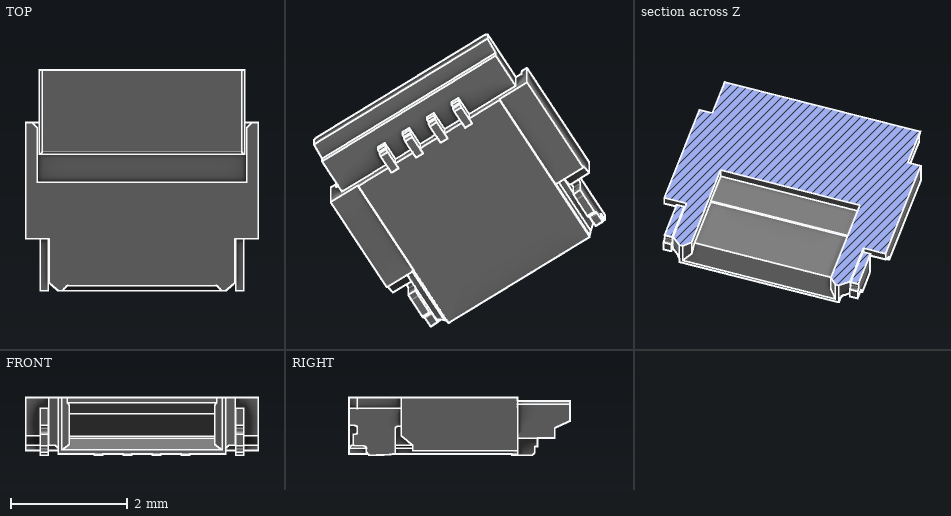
import cadquery as cq


HEIGHT = 1.0
EAR_WIDTH = 4.0
BODY_WIDTH = 3.2
FOOT_WIDTH = 2.88
HOUSING_REAR = 2.9
EAR_FRONT = 0.895
HOUSING_BOTTOM = 0.025
EAR_BOTTOM = 0.085
FOOT_TOP = 0.125
BODY_BOTTOM = 0.175
BODY_CORNER = 0.14
EAR_CHAMFER_Y = 0.2
EAR_CHAMFER_Z = 0.165

POCKET_WIDTH = 3.6
POCKET_FRONT = 1.87
POCKET_FLOOR = 0.835
POCKET_MOUTH_CHAMFER = 0.095

MOUTH_WIDTH = 2.75
SLOT_WIDTH = 2.505
MOUTH_FLOOR = 0.095
SLOT_FLOOR = 0.3
SLOT_CEILING = 0.715
SLOT_STEP_Y = 1.2
SLOT_STEP_HEIGHT = 0.03
SLOT_END = 1.76
RAMP_SLOPE = 0.74
CEILING_SLOPE = 1.3
FLARE_DEPTH = (MOUTH_WIDTH - SLOT_WIDTH) / 2
LIP_SETBACK = 0.09
LIP_BOTTOM = 0.91

FLAP_WIDTH = 3.535
FLAP_FRONT = 2.35
FLAP_REAR = 3.8
FLAP_TOP = 0.94
FLAP_BOTTOM = 0.3
FLAP_BEVEL_WIDTH = 0.05
FLAP_BEVEL_HEIGHT = 0.06
FLAP_FRONT_RADIUS = 0.05
FLAP_HEEL_Y = 3.54
FLAP_HEEL_Z = 0.47
FLAP_REAR_BOTTOM = 0.59

CONTACT_COUNT = 4
CONTACT_PITCH = 0.5
CONTACT_WIDTH = 0.145
CONTACT_REAR = 3.245
CONTACT_FRONT = 2.8
CONTACT_STEP_Y = 3.195
CONTACT_STEP_Z = 0.15
CONTACT_TOE_CHAMFER = 0.05

TAB_THICKNESS = 0.145
TAB_INNER_X = 1.61
TAB_TOP = 0.81
TAB_ROOT_Y = 1.2
TAB_SHOULDER_Z = 0.505
TAB_LEG_REAR = 0.795
TAB_LEG_FRONT = 0.3
TAB_HEEL_HEIGHT = 0.03
TAB_SOLE_REAR = 0.7
TAB_SOLE_REAR_HEIGHT = 0.01
TAB_TOE_LENGTH = 0.05
TAB_TOE_HEIGHT = 0.06
TAB_NOSE_BOTTOM = 0.515
TAB_NOTCH_Y = 0.145
PRONG_FRONT = 0.075
PRONG_BOTTOM = 0.165
PRONG_TOP = 0.365
TAB_FILLET = 0.05


def extrude_x(points, x_min, x_max):
    """Extrude a (y, z) outline between two X positions."""
    return cq.Workplane("YZ").workplane(offset=x_min).polyline(points).close().extrude(x_max - x_min)


def extrude_centred(points, width):
    return extrude_x(points, -width / 2, width / 2)


def make_housing():
    half_body = BODY_WIDTH / 2
    half_foot = FOOT_WIDTH / 2
    foot_bevel = BODY_BOTTOM - FOOT_TOP
    body_section = [
        (-half_foot, HOUSING_BOTTOM),
        (half_foot, HOUSING_BOTTOM),
        (half_foot, FOOT_TOP),
        (half_foot + foot_bevel, BODY_BOTTOM),
        (half_body, BODY_BOTTOM),
        (half_body, HEIGHT),
        (-half_body, HEIGHT),
        (-half_body, BODY_BOTTOM),
        (-half_foot - foot_bevel, BODY_BOTTOM),
        (-half_foot, FOOT_TOP),
    ]
    body = cq.Workplane("XZ").polyline(body_section).close().extrude(-HOUSING_REAR)
    corner_plan = [
        (-half_foot, 0),
        (half_foot, 0),
        (half_body, BODY_CORNER),
        (half_body, HOUSING_REAR),
        (-half_body, HOUSING_REAR),
        (-half_body, BODY_CORNER),
    ]
    body = body.intersect(cq.Workplane("XY").polyline(corner_plan).close().extrude(HEIGHT))
    ear_side = [
        (EAR_FRONT + EAR_CHAMFER_Y, EAR_BOTTOM),
        (EAR_FRONT + EAR_CHAMFER_Y, BODY_BOTTOM),
        (EAR_FRONT, BODY_BOTTOM + EAR_CHAMFER_Z),
        (EAR_FRONT, HEIGHT),
        (HOUSING_REAR, HEIGHT),
        (HOUSING_REAR, EAR_BOTTOM),
    ]
    return body.union(extrude_centred(ear_side, EAR_WIDTH))


def make_rear_pocket():
    half = POCKET_WIDTH / 2
    plan = [
        (-half, POCKET_FRONT),
        (half, POCKET_FRONT),
        (half, HOUSING_REAR - POCKET_MOUTH_CHAMFER),
        (half + POCKET_MOUTH_CHAMFER, HOUSING_REAR),
        (-half - POCKET_MOUTH_CHAMFER, HOUSING_REAR),
        (-half, HOUSING_REAR - POCKET_MOUTH_CHAMFER),
    ]
    floor = cq.Workplane("XY").workplane(offset=POCKET_FLOOR)
    return floor.polyline(plan).close().extrude(HEIGHT - POCKET_FLOOR)


def make_cable_opening():
    """Cable slot with a flared mouth; the roof is set back so the mouth is open above."""
    ramp_end = (SLOT_FLOOR - MOUTH_FLOOR) / RAMP_SLOPE
    ceiling_ramp_end = LIP_SETBACK + (LIP_BOTTOM - SLOT_CEILING) / CEILING_SLOPE
    side = [
        (0, MOUTH_FLOOR),
        (ramp_end, SLOT_FLOOR),
        (SLOT_STEP_Y, SLOT_FLOOR),
        (SLOT_STEP_Y, SLOT_FLOOR + SLOT_STEP_HEIGHT),
        (SLOT_END, SLOT_FLOOR + SLOT_STEP_HEIGHT),
        (SLOT_END, SLOT_CEILING),
        (ceiling_ramp_end, SLOT_CEILING),
        (LIP_SETBACK, LIP_BOTTOM),
        (LIP_SETBACK, HEIGHT),
        (0, HEIGHT),
    ]
    plan = [
        (-MOUTH_WIDTH / 2, 0),
        (MOUTH_WIDTH / 2, 0),
        (SLOT_WIDTH / 2, FLARE_DEPTH),
        (SLOT_WIDTH / 2, SLOT_END),
        (-SLOT_WIDTH / 2, SLOT_END),
        (-SLOT_WIDTH / 2, FLARE_DEPTH),
    ]
    flare = cq.Workplane("XY").polyline(plan).close().extrude(HEIGHT)
    return extrude_centred(side, MOUTH_WIDTH).intersect(flare)


def make_flap():
    side = [
        (FLAP_FRONT, FLAP_BOTTOM),
        (FLAP_FRONT, FLAP_TOP),
        (FLAP_REAR, FLAP_TOP),
        (FLAP_REAR, FLAP_REAR_BOTTOM),
        (FLAP_HEEL_Y, FLAP_HEEL_Z),
        (FLAP_HEEL_Y, FLAP_BOTTOM),
    ]
    flap = extrude_centred(side, FLAP_WIDTH).faces(">Z").edges("<Y").fillet(FLAP_FRONT_RADIUS)
    half = FLAP_WIDTH / 2
    section = [
        (-half, FLAP_BOTTOM),
        (half, FLAP_BOTTOM),
        (half, FLAP_TOP - FLAP_BEVEL_HEIGHT),
        (half - FLAP_BEVEL_WIDTH, FLAP_TOP),
        (-half + FLAP_BEVEL_WIDTH, FLAP_TOP),
        (-half, FLAP_TOP - FLAP_BEVEL_HEIGHT),
    ]
    return flap.intersect(cq.Workplane("XZ").polyline(section).close().extrude(-FLAP_REAR))


def make_contact(x_centre):
    side = [
        (CONTACT_FRONT, 0),
        (CONTACT_STEP_Y - CONTACT_TOE_CHAMFER, 0),
        (CONTACT_STEP_Y, CONTACT_TOE_CHAMFER),
        (CONTACT_STEP_Y, CONTACT_STEP_Z),
        (CONTACT_REAR, CONTACT_STEP_Z),
        (CONTACT_REAR, FLAP_BOTTOM),
        (CONTACT_FRONT, FLAP_BOTTOM),
    ]
    return extrude_x(side, x_centre - CONTACT_WIDTH / 2, x_centre + CONTACT_WIDTH / 2)


def make_tab():
    """Solder tab on the +X side, with a shoulder set into the ear and a small prong at the front."""
    side = [
        (0, TAB_TOP),
        (TAB_ROOT_Y, TAB_TOP),
        (TAB_ROOT_Y, TAB_SHOULDER_Z),
        (TAB_LEG_REAR, TAB_SHOULDER_Z),
        (TAB_LEG_REAR, TAB_HEEL_HEIGHT),
        (TAB_SOLE_REAR, TAB_SOLE_REAR_HEIGHT),
        (TAB_LEG_FRONT + TAB_TOE_LENGTH, 0),
        (TAB_LEG_FRONT, TAB_TOE_HEIGHT),
        (TAB_LEG_FRONT, PRONG_BOTTOM),
        (PRONG_FRONT, PRONG_BOTTOM),
        (PRONG_FRONT, PRONG_TOP),
        (TAB_NOTCH_Y, PRONG_TOP),
        (TAB_NOTCH_Y, TAB_NOSE_BOTTOM),
        (0, TAB_NOSE_BOTTOM),
    ]
    rounded = [
        (TAB_LEG_REAR, TAB_SHOULDER_Z),
        (TAB_LEG_FRONT, PRONG_BOTTOM),
        (TAB_NOTCH_Y, PRONG_TOP),
        (TAB_NOTCH_Y, TAB_NOSE_BOTTOM),
    ]
    tab = extrude_x(side, TAB_INNER_X, TAB_INNER_X + TAB_THICKNESS)
    for y, z in rounded:
        corner = cq.selectors.NearestToPointSelector((TAB_INNER_X + TAB_THICKNESS / 2, y, z))
        tab = tab.edges("|X").edges(corner).fillet(TAB_FILLET)
    return tab


result = make_housing().cut(make_rear_pocket()).cut(make_cable_opening()).union(make_flap())
for i in range(CONTACT_COUNT):
    result = result.union(make_contact((i - (CONTACT_COUNT - 1) / 2) * CONTACT_PITCH))
tab = make_tab()
result = result.union(tab).union(tab.mirror("YZ"))